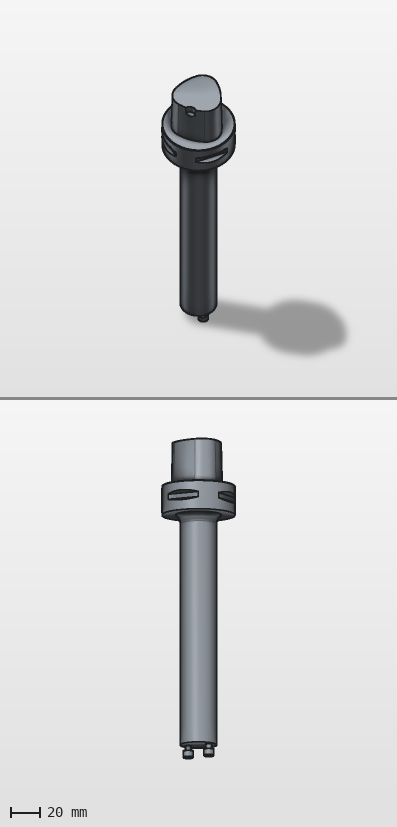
import cadquery as cq
import math

total_length = 218.0
taper_length = 30.0
flange_height = 20.0
screw_gap = 3.5
head_height = 4.8
bar_end = total_length - taper_length - head_height - screw_gap

flange_diameter = 50.0
flange_chamfer = 0.5
bar_diameter = 25.0
neck_height = 5.9
neck_flare = 3.0

lobe_reach = 18.7
flank_reach = 16.0
lobe_offset = 7.6
taper_angle = math.degrees(math.atan(1 / 40))

notch_diameter = 8.3
notch_depth = 5.2
notch_axis = 17.2
notch_tip_angle = 100.0

groove_count = 4
groove_drop = 9.8
groove_floor = 3.5
groove_reach = 22.0
groove_flank_angle = 30.0

stem_diameter = 4.0
head_diameter = 7.0
head_chamfer = 0.55
screw_offset = 5.7


def polar(radius, degrees):
    angle = math.radians(degrees)
    return (radius * math.cos(angle), radius * math.sin(angle))


def make_body():
    flange_radius = flange_diameter / 2
    bar_radius = bar_diameter / 2
    neck_radius = (neck_height**2 + neck_flare**2) / (2 * neck_flare)
    arc_centre = (bar_radius + neck_radius, -flange_height - neck_height)
    half_sweep = math.asin(neck_height / neck_radius) / 2
    arc_middle = (
        arc_centre[0] - neck_radius * math.cos(half_sweep),
        arc_centre[1] + neck_radius * math.sin(half_sweep),
    )
    return (
        cq.Workplane("XZ")
        .moveTo(0, 0)
        .lineTo(flange_radius - flange_chamfer, 0)
        .lineTo(flange_radius, -flange_chamfer)
        .lineTo(flange_radius, -flange_height)
        .lineTo(bar_radius + neck_flare, -flange_height)
        .threePointArc(arc_middle, (bar_radius, arc_centre[1]))
        .lineTo(bar_radius, -bar_end)
        .lineTo(0, -bar_end)
        .close()
        .revolve(360, (0, 0, 0), (0, 1, 0))
    )


def make_shank():
    reach_step = lobe_reach - flank_reach
    flank_offset = reach_step * (2 * lobe_offset - reach_step) / (lobe_offset - 2 * reach_step)
    flank_radius = flank_offset + flank_reach
    lobe_x, lobe_y = polar(lobe_offset, -30)
    tangent_direction = math.degrees(math.atan2(lobe_y - flank_offset, lobe_x))
    across, along = polar(flank_radius, tangent_direction)
    joint_radius = math.hypot(across, flank_offset + along)
    joint_angle = 90 + math.degrees(math.atan2(flank_offset + along, across))

    outline = cq.Workplane("XY").moveTo(*polar(joint_radius, -90 - joint_angle))
    for flank_direction in (-90, 30, 150):
        outline = outline.threePointArc(
            polar(flank_reach, flank_direction),
            polar(joint_radius, flank_direction + joint_angle),
        ).threePointArc(
            polar(lobe_reach, flank_direction + 60),
            polar(joint_radius, flank_direction + 120 - joint_angle),
        )
    return outline.close().extrude(taper_length, taper=taper_angle)


def make_notch():
    radius = notch_diameter / 2
    tip_height = radius / math.tan(math.radians(notch_tip_angle / 2))
    drill = (
        cq.Workplane("XZ")
        .moveTo(0, 0)
        .lineTo(radius, 0)
        .lineTo(radius, -notch_depth)
        .lineTo(0, -notch_depth - tip_height)
        .close()
        .revolve(360, (0, 0, 0), (0, 1, 0))
    )
    return drill.translate((0, -notch_axis, taper_length))


def make_groove(direction):
    groove_depth = flange_diameter / 2 - groove_reach
    half_floor = groove_floor / 2
    half_mouth = half_floor + groove_depth * math.tan(math.radians(groove_flank_angle))
    groove = (
        cq.Workplane("XZ")
        .polyline(
            [
                (groove_reach, -half_floor),
                (groove_reach + groove_depth, -half_mouth),
                (groove_reach + groove_depth, half_mouth),
                (groove_reach, half_floor),
            ]
        )
        .close()
        .extrude(flange_diameter / 2, both=True)
    )
    return groove.translate((0, 0, -groove_drop)).rotate((0, 0, 0), (0, 0, 1), direction)


def make_screw(x, y):
    stem = cq.Workplane("XY").circle(stem_diameter / 2).extrude(-screw_gap)
    head = (
        cq.Workplane("XY", origin=(0, 0, -screw_gap))
        .circle(head_diameter / 2)
        .extrude(-head_height)
        .faces("<Z")
        .chamfer(head_chamfer)
    )
    return stem.union(head).translate((x, y, -bar_end))


result = make_body().union(make_shank()).cut(make_notch())
for index in range(groove_count):
    result = result.cut(make_groove(45 + index * 360 / groove_count))
for side in (1, -1):
    result = result.union(make_screw(side * screw_offset, -side * screw_offset))